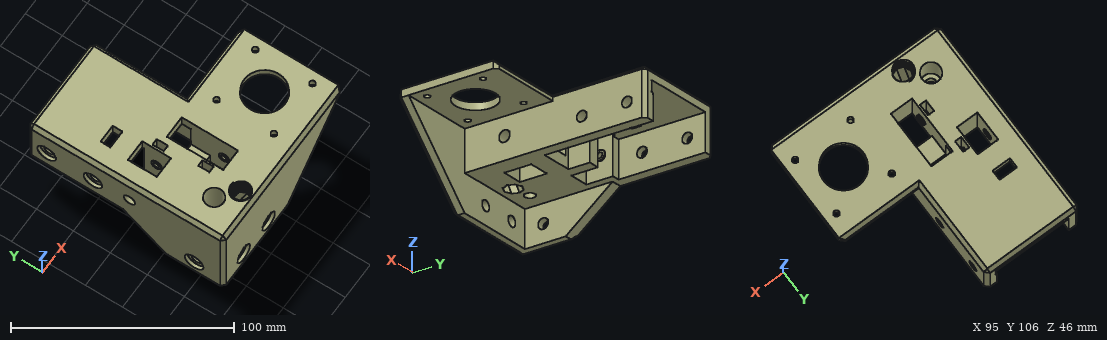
import cadquery as cq


length_x = 95.0
length_y = 106.0
height = 46.0
wall = 6.0
profile_bar = 20.0
upper_depth = wall + profile_bar
leg_width = 52.0
foot_depth = 54.9
motor_plate = 4.0
chamfer = 2.0
slope_bottom_x = 52.2
slope_bottom_y = 28.6
slope_top_y = 54.6
reach = 2 * length_y
near = 0.01

screw_hole = 5.5
screw_head = 10.0
head_depth = 2.0
bar_axis = wall + profile_bar / 2
low_z = -(upper_depth + profile_bar / 2)
side_screws = [(95.8, -bar_axis), (70.8, -bar_axis), (bar_axis, low_z)]
front_screws = [(bar_axis, low_z), (bar_axis + profile_bar, low_z)]

motor_x = 73.6
motor_y = 27.6
motor_bore = 22.0
motor_screw = 3.0
motor_screw_spacing = 31.0

slot_1 = (10.4, 21.8, 43.2, 58.8)
slot_2 = (30.0, 41.9, 20.6, 35.5)
slot_2_end = 51.0
axle_z = -13.9
axle_hole = 3.0
axle_head = 6.0
axle_head_depth = 8.0
boss_diameter = 5.4
boss_heights_1 = (0.5, 0.4)
boss_heights_2 = (0.8, 0.4)
nut_length = 3.4
nut_width = 6.0
nut_1_x = 24.7
nut_2_x = 27.2
nut_depth = -axle_z + nut_width / 2
block_end = 57.9
bridge_end = 46.0
bridge_thickness = wall
belt_space_x = 28.0
ledge = 1.0
ledge_z = -11.7

window_x = (11.3, 21.0)
window_y = (69.0, 74.2)

thread_x = 25.9
thread_y = 8.0
thread_minor = 9.5
thread_major = 11.2
thread_pitch = 1.5
thread_depth = 10.0
bore_shift = 5.9
bore_sides = 8
groove_width = 1.3
groove_overlap = 0.2
groove_end_gap = 1.0


def box(x0, x1, y0, y1, z0, z1):
    return cq.Workplane("XY").box(x1 - x0, y1 - y0, z1 - z0, centered=False).translate((x0, y0, z0))


def cylinder(start, direction, diameter, depth):
    return cq.Workplane(cq.Solid.makeCylinder(diameter / 2, depth, cq.Vector(*start), cq.Vector(*direction)))


def edges_in(shape, x=(-reach, reach), y=(-reach, reach), z=(-reach, reach)):
    """Edges that lie completely inside the given ranges."""
    corner_low = (x[0] - near, y[0] - near, z[0] - near)
    corner_high = (x[1] + near, y[1] + near, z[1] + near)

    def inside(edge):
        b = edge.BoundingBox()
        low = (b.xmin, b.ymin, b.zmin)
        high = (b.xmax, b.ymax, b.zmax)
        return all(l > c for l, c in zip(low, corner_low)) and all(h < c for h, c in zip(high, corner_high))

    return [edge for edge in shape.edges().vals() if inside(edge)]


def envelope():
    plan = [(0, 0), (length_x, 0), (length_x, foot_depth), (leg_width, foot_depth),
            (leg_width, length_y), (0, length_y)]
    front = [(0, 0), (length_x, 0), (length_x, -motor_plate), (slope_bottom_x, -height), (0, -height)]
    side = [(0, 0), (length_y, 0), (length_y, -upper_depth), (slope_top_y, -upper_depth),
            (slope_bottom_y, -height), (0, -height)]
    body = cq.Workplane("XY").polyline(plan).close().extrude(-height)
    body = body.intersect(cq.Workplane("XZ").polyline(front).close().extrude(-length_y))
    body = body.intersect(cq.Workplane("YZ").polyline(side).close().extrude(length_x))
    edges = edges_in(body, y=(0, 0))
    edges += edges_in(body, x=(0, 0), z=(0, 0))
    edges += edges_in(body, x=(0, 0), z=(-height, -height))
    edges += edges_in(body, x=(0, 0), y=(length_y, length_y))
    edges += edges_in(body, y=(length_y, length_y), z=(0, 0))
    edges += edges_in(body, x=(leg_width, leg_width), y=(length_y, length_y))
    edges += edges_in(body, x=(leg_width, leg_width), z=(0, 0))
    edges += edges_in(body, y=(foot_depth, foot_depth), z=(0, 0))
    edges += edges_in(body, x=(length_x, length_x), y=(foot_depth, foot_depth))
    unique = {edge.hashCode(): edge for edge in edges}
    return cq.Workplane(body.val().chamfer(chamfer, None, list(unique.values())))


def hollows():
    """Room for the lower bar, the motor and the upper bar."""
    inner = leg_width - wall
    lower_bar = box(wall, reach, wall, reach, -reach, -upper_depth)
    motor = box(leg_width, reach, wall, foot_depth, -reach, -motor_plate)
    upper_bar = box(wall, inner, block_end, reach, -reach, -wall)
    belt_section = [(belt_space_x, -wall), (inner + ledge, -wall), (inner + ledge, ledge_z),
                    (inner, ledge_z - ledge), (inner, -upper_depth), (belt_space_x, -upper_depth)]
    belt_plane = cq.Workplane("XZ", origin=(0, bridge_end, 0))
    belt_space = belt_plane.polyline(belt_section).close().extrude(-length_y)
    return [lower_bar, motor, upper_bar, belt_space]


def counterbored(start, direction, depth, head):
    """Bar screw hole that begins at an outer face, with a recess for the screw head."""
    return [cylinder(start, direction, screw_hole, depth), cylinder(start, direction, screw_head, head)]


def bar_screws():
    cuts = counterbored((bar_axis, bar_axis, 0), (0, 0, -1), height, profile_bar)
    for y, z in side_screws:
        cuts += counterbored((0, y, z), (1, 0, 0), length_x, head_depth)
    for x, z in front_screws:
        cuts += counterbored((x, 0, z), (0, 1, 0), wall, head_depth)
    return cuts


def motor_mount():
    cuts = [cylinder((motor_x, motor_y, 0), (0, 0, -1), motor_bore, motor_plate)]
    for side_x in (-0.5, 0.5):
        for side_y in (-0.5, 0.5):
            start = (motor_x + side_x * motor_screw_spacing, motor_y + side_y * motor_screw_spacing, 0)
            cuts.append(cylinder(start, (0, 0, -1), motor_screw, motor_plate))
    return cuts


def pulley_slot(slot, heights):
    """Slot through the block with a round boss on each side of the pulley."""
    x0, x1, y0, y1 = slot
    axle_y = (y0 + y1) / 2
    cavity = box(x0, x1, y0, y1, -upper_depth, 0)
    cavity = cavity.cut(cylinder((x0, axle_y, axle_z), (1, 0, 0), boss_diameter, heights[0]))
    return cavity.cut(cylinder((x1, axle_y, axle_z), (-1, 0, 0), boss_diameter, heights[1]))


def axle(start_x, direction, slot, nut_x):
    """Axle screw hole with a head recess at its start and a nut pocket at its end."""
    axle_y = (slot[2] + slot[3]) / 2
    start = (start_x, axle_y, axle_z)
    along = (direction, 0, 0)
    half_nut = nut_length / 2
    half_width = nut_width / 2
    hole = cylinder(start, along, axle_hole, abs(nut_x - start_x) + half_nut)
    head = cylinder(start, along, axle_head, axle_head_depth)
    nut = box(nut_x - half_nut, nut_x + half_nut, axle_y - half_width, axle_y + half_width, -nut_depth, 0)
    return [hole, head, nut]


def pulleys():
    cuts = [pulley_slot(slot_1, boss_heights_1), pulley_slot(slot_2, boss_heights_2)]
    x0, x1, _, bridge_start = slot_2
    cuts.append(box(x0, x1, bridge_start, bridge_end, bridge_thickness - upper_depth, 0))
    cuts.append(box(x0, x1, bridge_end, slot_2_end, -upper_depth, 0))
    cuts += axle(0, 1, slot_1, nut_1_x)
    cuts += axle(leg_width, -1, slot_2, nut_2_x)
    return cuts


def threaded_bore():
    """Vertical thread followed by an eight-sided bore that leans towards +Y on its way down."""
    minor = cylinder((0, 0, 0), (0, 0, -1), thread_minor, thread_depth)
    root = thread_minor / 2 - groove_overlap
    helix_start = -thread_depth + groove_end_gap
    helix = cq.Wire.makeHelix(thread_pitch, thread_depth, root, cq.Vector(0, 0, helix_start))
    groove = (
        cq.Workplane("XZ", origin=(0, 0, helix_start))
        .polyline([(root, -groove_width / 2), (thread_major / 2, 0), (root, groove_width / 2)])
        .close()
        .sweep(cq.Workplane(helix), isFrenet=True)
        .rotate((0, 0, 0), (0, 0, 1), 180)
    )
    lean = cq.Workplane("YZ").polyline([(0, -thread_depth), (bore_shift, -upper_depth)])
    outlet = (
        cq.Workplane("XY", origin=(0, 0, -thread_depth))
        .polygon(bore_sides, thread_minor)
        .sweep(lean)
    )
    return [cut.translate((thread_x, thread_y, 0)) for cut in (minor, groove, outlet)]


result = envelope()
window = box(*window_x, *window_y, -wall, 0)
for cut in hollows() + bar_screws() + motor_mount() + pulleys() + threaded_bore() + [window]:
    result = result.cut(cut)
result = cq.Workplane(result.solids().val())